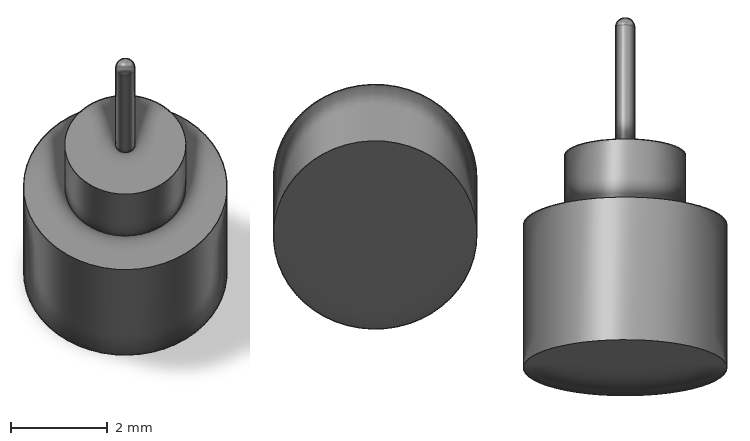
import cadquery as cq

total_height = 7.5
body_diameter = 4.2
body_height = 3.06
collar_diameter = 2.5
collar_height = 1.49
pin_diameter = 0.4

collar_top = body_height + collar_height
pin_radius = pin_diameter / 2
pin_length = total_height - collar_top


def cylinder(diameter, height, base_z):
    """Upright cylinder on the Z axis, starting at base_z."""
    return cq.Workplane("XY").workplane(offset=base_z).circle(diameter / 2).extrude(height)


body = cylinder(body_diameter, body_height, 0)
collar = cylinder(collar_diameter, collar_height, body_height)

dome_center_z = total_height - pin_radius
pin_shank = cylinder(pin_diameter, pin_length - pin_radius, collar_top)
pin_tip = cq.Workplane("XY").workplane(offset=dome_center_z).sphere(pin_radius)

result = body.union(collar).union(pin_shank).union(pin_tip)